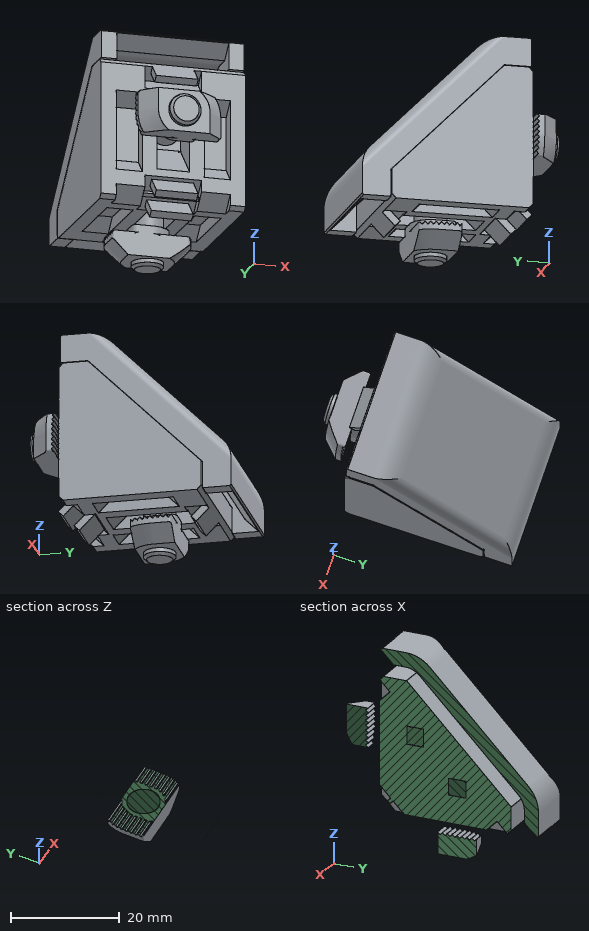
import cadquery as cq
import math


bracket_half_width = 14.0
bracket_reach = 27.0
slope_sum = 32.6
bracket_chamfer = 0.8
corner_notch = 2.9

window_inner_x = 5.98
window_outer_x = 11.02
window_low = 5.75
window_high = 21.03
window_depth = 2.52

slot_width = 6.3
slot_low = 6.5
slot_high = 22.05
slot_end_bevel = 4.0

pocket_width = 10.95
upper_pocket_top = bracket_reach - bracket_chamfer
lower_pocket_top = 5.1
upper_pocket_height = 4.27
lower_pocket_height = 4.55
pocket_web_end = 3.8
lug_width = 8.1
lug_thickness = 1.42
lug_projection = 2.4
lower_lug_height = 4.05

cover_half_width = 13.83
cover_wall = 3.0
cover_reach = 32.6
cover_slope_sum = 40.9
cover_tip = 0.3
cover_tip_chamfer = 0.3
cover_lip_edge = 0.12
cover_bend_radius = 7.08
cover_side_radius = 2.07
cover_inner_reach = 27.15

nut_length = 16.02
nut_width = 8.0
neck_height = 1.45
wing_height = 1.5
taper_height = 3.0
wing_corner_radius = 0.5
neck_corner_radius = 1.0
teeth_per_side = 4
tooth_pitch = nut_width / (2 * teeth_per_side)
tooth_depth = tooth_pitch / 2
nut_height = neck_height + wing_height + taper_height

fastener_shift = 0.12
bolt_axis_offset = 16.05
bottom_nut_gap = 0.65
front_nut_gap = bottom_nut_gap + fastener_shift

shank_diameter = 6.0
tip_diameter = 4.92
head_diameter = 10.0
head_height = 3.25
head_seat_depth = 5.7
slot_depth = head_seat_depth + head_height
bolt_protrusion = 1.3

front_plane = cq.Plane(origin=(0, 0, bolt_axis_offset), xDir=(1, 0, 0), normal=(0, -1, 0))
bottom_plane = cq.Plane(origin=(0, bolt_axis_offset - fastener_shift, 0), xDir=(1, 0, 0), normal=(0, 0, -1))


def prism(points, x_min, x_max):
    """Profile of (y, z) points extruded along X."""
    return cq.Workplane("YZ", origin=(x_min, 0, 0)).polyline(points).close().extrude(x_max - x_min)


def centred_prism(points, half_width):
    return prism(points, -half_width, half_width)


def swapped(points):
    """The same profile on the other wall."""
    return [(z, y) for y, z in points]


def wedge(reach, diagonal_sum, start=0.0):
    """Square with one corner cut off along y + z = diagonal_sum."""
    short = diagonal_sum - reach
    return [(start, start), (start, reach), (short, reach), (reach, short), (reach, start)]


def corner_triangle(leg):
    return [(0, 0), (leg, 0), (0, leg)]


def window_profile():
    """Pocket with 45 degree ends."""
    return [
        (0, window_low),
        (window_depth, window_low + window_depth),
        (window_depth, window_high - window_depth),
        (0, window_high),
    ]


def slot_profile():
    """Bolt slot with 45 degree slopes at its low end and its high inner corner."""
    return [
        (0, slot_low),
        (slot_depth, slot_low + slot_depth),
        (slot_depth, slot_high - slot_end_bevel),
        (slot_depth - slot_end_bevel, slot_high),
        (0, slot_high),
    ]


def pocket_profile(top, height):
    """V-shaped notch with 45 degree sides."""
    return [(0, top), (height / 2, top - height / 2), (0, top - height)]


def lug_profile(height, pocket_top):
    """Bar leaning outwards at 45 degrees, rooted on the upper side of its pocket."""
    step = lug_thickness / math.sqrt(2)
    root_y = (pocket_top - height) / 2
    root_z = (pocket_top + height) / 2
    tip_y = -lug_projection
    tip_z = height - lug_projection
    return [(root_y, root_z), (tip_y, tip_z), (tip_y + step, tip_z - step), (root_y + step, root_z - step)]


def make_bracket():
    body = centred_prism(wedge(bracket_reach, slope_sum), bracket_half_width)
    ends = [corner_triangle(bracket_chamfer)]
    far_end = [
        (0, bracket_reach - bracket_chamfer),
        (0, bracket_reach),
        (bracket_chamfer, bracket_reach),
    ]
    ends += [far_end, swapped(far_end)]
    for end in ends:
        body = body.cut(centred_prism(end, bracket_half_width))
    body = body.cut(centred_prism(corner_triangle(corner_notch), window_outer_x))
    body = body.cut(centred_prism(corner_triangle(pocket_web_end), pocket_width / 2))

    upper_pocket = pocket_profile(upper_pocket_top, upper_pocket_height)
    lower_pocket = pocket_profile(lower_pocket_top, lower_pocket_height)
    upper_lug = lug_profile(upper_pocket_top, upper_pocket_top)
    lower_lug = lug_profile(lower_lug_height, lower_pocket_top)
    for side in (list, swapped):
        body = body.cut(prism(side(window_profile()), window_inner_x, window_outer_x))
        body = body.cut(prism(side(window_profile()), -window_outer_x, -window_inner_x))
        body = body.cut(centred_prism(side(slot_profile()), slot_width / 2))
        for pocket in (upper_pocket, lower_pocket):
            body = body.cut(centred_prism(side(pocket), pocket_width / 2))
        for lug in (upper_lug, lower_lug):
            body = body.union(centred_prism(side(lug), lug_width / 2))

    for plane in (front_plane, bottom_plane):
        recess = cq.Workplane(plane).workplane(offset=-head_seat_depth).circle(head_diameter / 2)
        body = body.cut(recess.extrude(-head_height))
    return body


def bent_prism(reach, diagonal_sum, bend_radius, half_width):
    """Wedge starting at the cover tips, with both bends rounded."""
    body = centred_prism(wedge(reach, diagonal_sum, cover_tip), half_width)
    return body.edges("|X").edges(">(0,1,1)").fillet(bend_radius)


def side_rounding():
    """Bar along the slope whose two outer edges are rounded."""
    depth = cover_slope_sum / math.sqrt(2)
    slope_plane = cq.Plane(
        origin=(0, cover_slope_sum / 2, cover_slope_sum / 2),
        xDir=(1, 0, 0),
        normal=(0, 1, -1),
    )
    bar = cq.Workplane(slope_plane).center(0, depth / 2).rect(2 * cover_half_width, depth)
    bar = bar.extrude(cover_reach, both=True)
    return bar.faces(">(0,1,1)").edges("|(0,1,-1)").fillet(cover_side_radius)


def make_cover():
    body = bent_prism(cover_reach, cover_slope_sum, cover_bend_radius, cover_half_width)
    body = body.faces("<Y").edges(">Z").chamfer(cover_tip_chamfer)
    body = body.faces("<Z").edges(">Y").chamfer(cover_tip_chamfer)
    body = body.intersect(side_rounding())

    cavity_half_width = cover_half_width - cover_wall
    cavity_reach = cover_reach - cover_wall
    cavity_sum = cover_slope_sum - cover_wall * math.sqrt(2)
    cavity = bent_prism(cavity_reach, cavity_sum, cover_bend_radius - cover_wall, cavity_half_width)
    body = body.cut(cavity)

    body = body.cut(centred_prism(wedge(cover_inner_reach, slope_sum), cover_half_width))

    lip_z = cover_reach - cover_tip_chamfer - cover_lip_edge
    bevel = [
        (cover_tip, cavity_reach),
        (cover_tip, lip_z),
        (cover_tip + lip_z - cavity_reach, cavity_reach),
    ]
    for side in (list, swapped):
        body = body.cut(centred_prism(side(bevel), cavity_half_width))
    return body


def opposite_quadrants(solid, x_sign):
    """Keep the quadrant with y > 0 on the given x side, and the one opposite to it."""
    size = nut_length
    blocks = cq.Workplane("XY").pushPoints([(x_sign * size / 2, size / 2), (-x_sign * size / 2, -size / 2)])
    return solid.intersect(blocks.rect(size, size).extrude(size))


def turning_block(length, height):
    """Block with two opposite corners trimmed to its swing circle, so that it can turn in."""
    block = cq.Workplane("XY").rect(length, nut_width).extrude(height)
    swing = cq.Workplane("XY").circle(length / 2).extrude(height)
    square_part = opposite_quadrants(block, -1)
    swing_part = opposite_quadrants(block.intersect(swing), 1)
    return square_part.union(swing_part)


def taper_envelope():
    """45 degree taper: flat where the nut is square, conical where it is round."""
    half = nut_length / 2
    flank = nut_height - taper_height
    right_half = [(half, 0), (half, flank), (half - taper_height, nut_height)]
    left_half = [(-x, z) for x, z in reversed(right_half)]
    flat = cq.Workplane("XZ").polyline(right_half + left_half).close().extrude(half, both=True)
    cone = cq.Workplane("XZ").polyline([(0, 0)] + right_half + [(0, nut_height)]).close()
    cone = cone.revolve(360, (0, 0), (0, 1))
    return opposite_quadrants(flat, -1).union(opposite_quadrants(cone, 1))


def toothed_envelope():
    """Region beyond the sawtooth clamping faces; the teeth run along X."""
    teeth = []
    for i in range(-2 * teeth_per_side, 2 * teeth_per_side + 1):
        teeth.append((i * tooth_pitch / 2, neck_height + tooth_depth * (i % 2)))
    outer = [(nut_width / 2, nut_height), (-nut_width / 2, nut_height)]
    return centred_prism(teeth + outer, nut_length / 2)


def make_nut(plane, gap):
    wings = turning_block(nut_length, nut_height)
    wings = wings.edges("|Z").edges("<Y or >Y").fillet(wing_corner_radius)
    wings = wings.intersect(taper_envelope()).intersect(toothed_envelope())
    neck = turning_block(nut_width, neck_height + wing_height)
    neck = neck.edges("|Z").edges("<(1,-1,0) or >(1,-1,0)").fillet(neck_corner_radius)
    nut = wings.union(neck)
    nut = nut.cut(cq.Workplane("XY").circle(shank_diameter / 2).extrude(nut_height))
    return nut.translate((0, 0, gap)).val().moved(cq.Location(plane))


def make_bolt(plane, gap):
    """Headed bolt from its seat in the bracket through the nut."""
    length = head_seat_depth + gap + nut_height + bolt_protrusion
    bolt = cq.Workplane("XY", origin=(0, 0, -head_seat_depth)).circle(shank_diameter / 2).extrude(length)
    bolt = bolt.faces(">Z").chamfer((shank_diameter - tip_diameter) / 2)
    head = cq.Workplane("XY", origin=(0, 0, -head_seat_depth)).circle(head_diameter / 2).extrude(-head_height)
    return bolt.union(head).val().moved(cq.Location(plane))


bracket = make_bracket()
cover = make_cover()
nuts = []
bolts = []
for wall_plane, nut_gap in ((front_plane, front_nut_gap), (bottom_plane, bottom_nut_gap)):
    nuts.append(make_nut(wall_plane, nut_gap))
    bolts.append(make_bolt(wall_plane, nut_gap))

result = cq.Compound.makeCompound([bracket.val(), cover.val(), *nuts, *bolts])